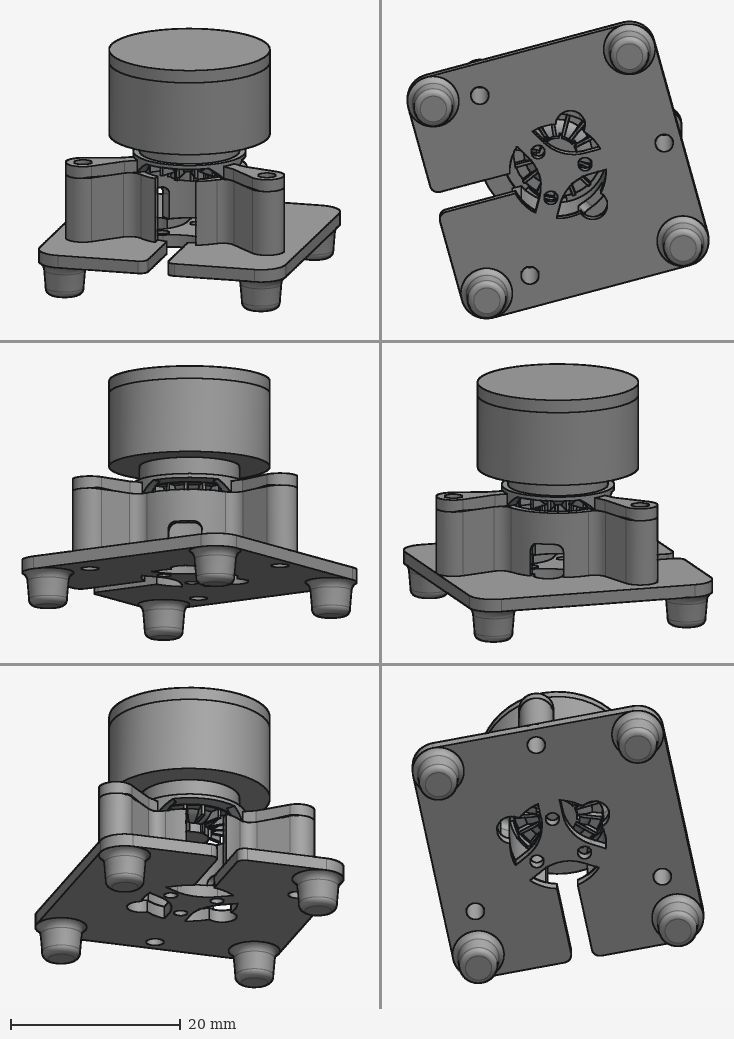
import cadquery as cq
import math

PLATE_BOTTOM = 4.0
PLATE_TOP = 5.5
STAND_TOP = 13.3
ARM_TOP = 14.73
FLANGE_TOP = 15.2
BELL_BOTTOM = 17.3
CAP_BOTTOM = 26.1
CAP_TOP = 27.6

PLATE_SIZE = 30.05
PLATE_CORNER_RADIUS = 3.0
ENTRY_WIDTH = 2.5
ENTRY_CORNER_RADIUS = 1.0
POCKET_OUTER_RADIUS = 5.68
SPOKE_WIDTH = 2.6
SPOKE_HOLE_DIAMETER = 1.6
SPOKE_HOLE_DISTANCE = 3.3
SPOKE_FILLET = 4.95
NOTCH_DIAMETER = 3.45
NOTCH_DISTANCE = 5.77

RING_OUTER_RADIUS = 6.75
RING_INNER_RADIUS = 5.75
RING_GAP_WIDTH = 5.0
ARCH_WIDTH = 4.0
ARCH_HEIGHT = 4.0
ARCH_CORNER_RADIUS = 1.0
POST_FILLET = 1.5

ARM_HOLE_DISTANCE = 13.0
ARM_HOLE_DIAMETER = 2.1
ARM_END_RADIUS = PLATE_SIZE / 2 - ARM_HOLE_DISTANCE
ARM_NECK_WIDTH = 1.75
ARM_NECK_END = 8.18
ARM_ANGLES = [90, 210, 330]
OPEN_ANGLES = [30, 150, 270]

FLANGE_RADIUS = 6.65
NECK_RADIUS = 11.8 / 2
MOUNT_CAVITY_RADIUS = 5.5
WINDOW_SILL_HALF_ANGLE = 52.0
WINDOW_HEAD_HALF_ANGLE = 35.0

SHAFT_DIAMETER = 3.1
WHEEL_BOTTOM = 12.17
WHEEL_TOP = 14.5
WHEEL_RADIUS = 10.5 / 2
WHEEL_RIM_THICKNESS = 0.12
BOWL_RADIUS = 4.03
BOWL_MIDDLE_RADIUS = 3.43
BOWL_MIDDLE_HEIGHT = 13.75
HUB_DIAMETER = 4.5
FIN_COUNT = 15
FIN_THICKNESS = 0.35
RIB_COUNT = 8
RIB_RADIUS = 2.6
RIB_THICKNESS = 0.35

BELL_DIAMETER = 19.0

FOOT_DISTANCE = 12.0
FOOT_TOP_RADIUS = PLATE_SIZE / 2 - FOOT_DISTANCE
FOOT_SHOULDER_RADIUS = 2.43
FOOT_SHOULDER_HEIGHT = 3.05
FOOT_LOWER_RADIUS = 2.25
FOOT_LOWER_HEIGHT = 0.87
FOOT_SOLE_RADIUS = 3.1 / 2

ROUND_CORNER = math.sqrt(0.5)


def level(height):
    return cq.Workplane("XY").workplane(offset=height)


def cylinder(diameter, bottom, top, distance=0.0):
    return level(bottom).center(distance, 0).circle(diameter / 2).extrude(top - bottom)


def turned(shape, angle):
    return shape.rotate((0, 0, 0), (0, 0, 1), angle)


def arm(inner_end, bottom, top):
    """Arm along +X: a round end whose tangent sides taper straight on towards the axis."""
    half_neck = ARM_NECK_WIDTH / 2
    reach = ARM_HOLE_DISTANCE - ARM_NECK_END
    taper = math.asin(ARM_END_RADIUS / math.hypot(reach, half_neck)) - math.atan2(half_neck, reach)
    tangent_x = ARM_HOLE_DISTANCE - ARM_END_RADIUS * math.sin(taper)
    tangent_y = ARM_END_RADIUS * math.cos(taper)
    inner_y = half_neck + (inner_end - ARM_NECK_END) * math.tan(taper)
    return (
        level(bottom)
        .moveTo(inner_end, -inner_y)
        .lineTo(tangent_x, -tangent_y)
        .threePointArc((ARM_HOLE_DISTANCE + ARM_END_RADIUS, 0), (tangent_x, tangent_y))
        .lineTo(inner_end, inner_y)
        .close()
        .extrude(top - bottom)
    )


def arm_hole(bottom, top):
    return cylinder(ARM_HOLE_DIAMETER, bottom, top, ARM_HOLE_DISTANCE)


def edges_near_radius(shape, radius, tolerance=0.03):
    """Upright edges of the shape that lie at one distance from the Z axis."""

    def at_radius(edge):
        center = edge.Center()
        return abs(math.hypot(center.x, center.y) - radius) < tolerance

    return shape.edges("|Z").filter(at_radius)


def plate_pockets():
    """Three pockets of the plate, which leave a small hub on three spokes between them."""
    pockets = cylinder(2 * POCKET_OUTER_RADIUS, PLATE_BOTTOM, PLATE_TOP)
    spoke = (
        level(PLATE_BOTTOM)
        .center(POCKET_OUTER_RADIUS / 2, 0)
        .rect(POCKET_OUTER_RADIUS, SPOKE_WIDTH)
        .extrude(PLATE_TOP - PLATE_BOTTOM)
    )
    for angle in ARM_ANGLES:
        pockets = pockets.cut(turned(spoke, angle))
    half_spacing = math.pi / len(ARM_ANGLES)
    inner_corner_radius = SPOKE_WIDTH / 2 / math.sin(half_spacing)
    return edges_near_radius(pockets, inner_corner_radius).fillet(SPOKE_FILLET)


def make_plate():
    thickness = PLATE_TOP - PLATE_BOTTOM
    plate = (
        level(PLATE_BOTTOM)
        .rect(PLATE_SIZE, PLATE_SIZE)
        .extrude(thickness)
        .edges("|Z")
        .fillet(PLATE_CORNER_RADIUS)
    )
    entry = (
        level(PLATE_BOTTOM)
        .center(0, -PLATE_SIZE / 2)
        .rect(ENTRY_WIDTH, PLATE_SIZE - 2 * SPOKE_HOLE_DISTANCE)
        .extrude(thickness)
    )
    plate = plate.cut(entry)
    for side in (-1, 1):
        mouth = (side * ENTRY_WIDTH / 2, -PLATE_SIZE / 2, PLATE_BOTTOM + thickness / 2)
        plate = plate.edges(cq.NearestToPointSelector(mouth)).fillet(ENTRY_CORNER_RADIUS)
    plate = plate.cut(plate_pockets())
    notch = cylinder(NOTCH_DIAMETER, PLATE_BOTTOM, PLATE_TOP, NOTCH_DISTANCE)
    for angle in OPEN_ANGLES[:2]:
        plate = plate.cut(turned(notch, angle))
    spoke_hole = cylinder(SPOKE_HOLE_DIAMETER, PLATE_BOTTOM, PLATE_TOP, SPOKE_HOLE_DISTANCE)
    for angle in ARM_ANGLES:
        plate = plate.cut(turned(spoke_hole, angle))
    return plate


def arch():
    """Arched opening along +X, from the plate up through one side of the ring."""
    length = 2 * RING_OUTER_RADIUS
    return (
        level(PLATE_TOP)
        .center(length / 2, 0)
        .rect(length, ARCH_WIDTH)
        .extrude(ARCH_HEIGHT)
        .edges("|X and >Z")
        .fillet(ARCH_CORNER_RADIUS)
    )


def make_stand():
    """Ring with three posts, opened by two arches and a full-height gap."""
    height = STAND_TOP - PLATE_TOP
    stand = turned(cylinder(2 * RING_OUTER_RADIUS, PLATE_TOP, STAND_TOP), ARM_ANGLES[0])
    post = arm(RING_INNER_RADIUS, PLATE_TOP, STAND_TOP)
    for angle in ARM_ANGLES:
        stand = stand.union(turned(post, angle))
    stand = edges_near_radius(stand, RING_OUTER_RADIUS).fillet(POST_FILLET)
    stand = stand.cut(cylinder(2 * RING_INNER_RADIUS, PLATE_TOP, STAND_TOP))
    for angle in OPEN_ANGLES[:2]:
        stand = stand.cut(turned(arch(), angle))
    gap = (
        level(PLATE_TOP)
        .center(0, -RING_OUTER_RADIUS)
        .rect(RING_GAP_WIDTH, 2 * RING_OUTER_RADIUS)
        .extrude(height)
    )
    return stand.cut(gap)


def make_base():
    base = make_plate().union(make_stand())
    for angle in ARM_ANGLES:
        base = base.cut(turned(arm_hole(PLATE_BOTTOM, STAND_TOP), angle))
    return base


def mount_window():
    """Opening along +X through the mount wall, flaring radially and narrowing upwards."""
    inner = SHAFT_DIAMETER / 2
    outer = 2 * FLANGE_RADIUS
    sill = math.tan(math.radians(WINDOW_SILL_HALF_ANGLE))
    head = math.tan(math.radians(WINDOW_HEAD_HALF_ANGLE))
    frames = []
    for distance in (inner, outer):
        corners = [
            cq.Vector(distance, -sill * distance, STAND_TOP),
            cq.Vector(distance, sill * distance, STAND_TOP),
            cq.Vector(distance, head * distance, ARM_TOP),
            cq.Vector(distance, -head * distance, ARM_TOP),
        ]
        frames.append(cq.Wire.makePolygon(corners, close=True))
    return cq.Workplane(cq.Solid.makeLoft(frames, True))


def make_mount():
    """Three arms and a windowed wall that carry the neck under the bell."""
    mount = cylinder(2 * FLANGE_RADIUS, STAND_TOP, FLANGE_TOP)
    mount = mount.union(cylinder(2 * NECK_RADIUS, FLANGE_TOP, BELL_BOTTOM))
    neck_length = ARM_NECK_END - MOUNT_CAVITY_RADIUS
    arm_neck = (
        level(STAND_TOP)
        .center(MOUNT_CAVITY_RADIUS + neck_length / 2, 0)
        .rect(neck_length, ARM_NECK_WIDTH)
        .extrude(ARM_TOP - STAND_TOP)
    )
    mount_arm = arm(ARM_NECK_END, STAND_TOP, ARM_TOP).union(arm_neck)
    mount_arm = mount_arm.cut(arm_hole(STAND_TOP, ARM_TOP))
    for angle in ARM_ANGLES:
        mount = mount.union(turned(mount_arm, angle))
    mount = mount.cut(cylinder(2 * MOUNT_CAVITY_RADIUS, STAND_TOP, ARM_TOP))
    mount = mount.cut(cylinder(SHAFT_DIAMETER, STAND_TOP, BELL_BOTTOM))
    for angle in OPEN_ANGLES:
        mount = mount.cut(turned(mount_window(), angle))
    return mount


def fin(radius, thickness, bottom, top):
    """Radial fin along +X, from the axis out to the radius."""
    return level(bottom).center(radius / 2, 0).rect(radius, thickness).extrude(top - bottom)


def make_wheel():
    """Shaft and hub with a bowl under a thin rim, radial fins above and short ribs below."""
    hub_radius = HUB_DIAMETER / 2
    rim_bottom = WHEEL_TOP - WHEEL_RIM_THICKNESS
    profile = (
        cq.Workplane("XZ")
        .moveTo(0, WHEEL_BOTTOM)
        .lineTo(hub_radius, WHEEL_BOTTOM)
        .lineTo(hub_radius, STAND_TOP)
        .threePointArc((BOWL_MIDDLE_RADIUS, BOWL_MIDDLE_HEIGHT), (BOWL_RADIUS, rim_bottom))
        .lineTo(WHEEL_RADIUS, rim_bottom)
        .lineTo(WHEEL_RADIUS, WHEEL_TOP)
        .lineTo(0, WHEEL_TOP)
        .close()
    )
    wheel = profile.revolve(360, (0, 0), (0, 1))
    wheel = wheel.union(cylinder(SHAFT_DIAMETER, WHEEL_BOTTOM, BELL_BOTTOM))
    upper_fin = fin(WHEEL_RADIUS, FIN_THICKNESS, STAND_TOP, WHEEL_TOP)
    for index in range(FIN_COUNT):
        wheel = wheel.union(turned(upper_fin, OPEN_ANGLES[2] + index * 360 / FIN_COUNT))
    hub_rib = fin(RIB_RADIUS, RIB_THICKNESS, WHEEL_BOTTOM, STAND_TOP)
    for index in range(RIB_COUNT):
        wheel = wheel.union(turned(hub_rib, OPEN_ANGLES[2] + (index + 0.5) * 360 / RIB_COUNT))
    return wheel


def make_bell():
    return cylinder(BELL_DIAMETER, BELL_BOTTOM, CAP_BOTTOM)


def make_cap():
    return cylinder(BELL_DIAMETER, CAP_BOTTOM, CAP_TOP)


def make_foot(x, y):
    """Tapered foot with a rounded sole edge and a top that flares out to the plate."""
    sole_width = FOOT_LOWER_RADIUS - FOOT_SOLE_RADIUS
    sole_arc_middle = (
        FOOT_SOLE_RADIUS + ROUND_CORNER * sole_width,
        FOOT_LOWER_HEIGHT * (1 - ROUND_CORNER),
    )
    profile = (
        cq.Workplane("XZ")
        .moveTo(0, 0)
        .lineTo(FOOT_SOLE_RADIUS, 0)
        .threePointArc(sole_arc_middle, (FOOT_LOWER_RADIUS, FOOT_LOWER_HEIGHT))
        .lineTo(FOOT_SHOULDER_RADIUS, FOOT_SHOULDER_HEIGHT)
        .tangentArcPoint((FOOT_TOP_RADIUS, PLATE_BOTTOM), relative=False)
        .lineTo(0, PLATE_BOTTOM)
        .close()
    )
    return profile.revolve(360, (0, 0), (0, 1)).translate((x, y, 0))


base = make_base()
mount = make_mount()
wheel = make_wheel()
bell = make_bell()
cap = make_cap()
feet = [
    make_foot(x, y).val()
    for x in (-FOOT_DISTANCE, FOOT_DISTANCE)
    for y in (-FOOT_DISTANCE, FOOT_DISTANCE)
]

result = cq.Compound.makeCompound(
    [base.val(), mount.val(), wheel.val(), bell.val(), cap.val(), *feet]
)